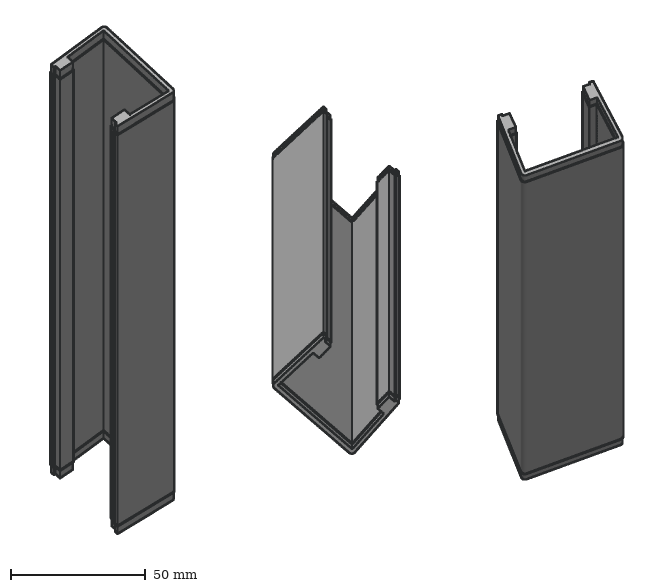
import cadquery as cq

LENGTH = 245.5
WIDTH = 41.2
DEPTH = 27.7

FILM = 0.3
BARE_END = 5.0
FILM_LENGTH = LENGTH - 2 * BARE_END

PLATE = 2.5
WALL = 2.2
TAPER = 1.2
CORNER_RADIUS = 1.7

LIP_TIP = 14.5
LIP_HEIGHT = 6.9
LIP_SETBACK = 0.7

BACK_Y = DEPTH / 2
FREE_Y = -DEPTH / 2
HALF_WIDTH = WIDTH / 2


def lean(y):
    """Inward lean of a side wall at the given Y, counted from the end of the corner rounding."""
    return TAPER * (BACK_Y - CORNER_RADIUS - y) / (DEPTH - CORNER_RADIUS)


def outer_x(y, inset):
    return HALF_WIDTH - inset - lean(y)


def inner_x(y, inset):
    return HALF_WIDTH - WALL + inset - lean(y)


def prism(right_points, length):
    """Upright prism, centred in Z, from the right half of a symmetric outline."""
    left_points = [(-x, y) for x, y in reversed(right_points)]
    outline = cq.Workplane("XY").workplane(offset=-length / 2).polyline(right_points + left_points)
    return outline.close().extrude(length)


def channel(length, inset):
    """Lipped channel whose faces all lie the given inset inside the overall section."""
    back_y = BACK_Y - inset
    plate_inner_y = BACK_Y - PLATE + inset
    free_y = FREE_Y + inset
    lip_bottom = FREE_Y + LIP_SETBACK + inset
    lip_top = FREE_Y + LIP_SETBACK + LIP_HEIGHT - inset
    lip_tip = LIP_TIP + inset
    right_points = [
        (outer_x(back_y, inset), back_y),
        (outer_x(free_y, inset), free_y),
        (inner_x(free_y, inset), free_y),
        (inner_x(lip_bottom, inset), lip_bottom),
        (lip_tip, lip_bottom),
        (lip_tip, lip_top),
        (inner_x(lip_top, inset), lip_top),
        (inner_x(plate_inner_y, inset), plate_inner_y),
    ]
    body = prism(right_points, length)
    return body.faces(">Y").edges("|Z").fillet(CORNER_RADIUS - inset)


def channel_mouth():
    """Space between the inner faces of the core's plate and walls."""
    top_y = BACK_Y - PLATE + FILM
    right_points = [(inner_x(top_y, FILM), top_y), (inner_x(FREE_Y, FILM), FREE_Y)]
    return prism(right_points, FILM_LENGTH)


core = channel(LENGTH, FILM)

coating = channel(FILM_LENGTH, 0).cut(core)
mouth = channel_mouth()
outer_film = coating.cut(mouth)
inner_film = coating.intersect(mouth)

result = cq.Compound.makeCompound([core.val(), *outer_film.solids().vals(), *inner_film.solids().vals()])